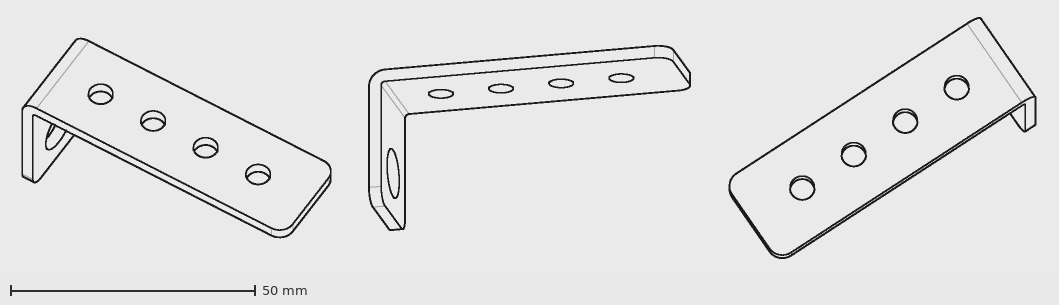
import cadquery as cq

length = 63.5
width = 20.1
height = 28.6

thickness = 2.6
inner_bend_radius = 0.8
outer_bend_radius = inner_bend_radius + thickness
corner_radius = 3.2

small_hole_diameter = 5.0
small_hole_count = 4
hole_pitch = length / (small_hole_count + 1)

large_hole_diameter = 10.15
large_hole_height = height / 3


def make_bent_sheet():
    """L-shaped sheet centred on Y, with its outer bend at X = 0 and Z = height."""
    sheet = (
        cq.Workplane("XZ")
        .moveTo(0, 0)
        .lineTo(0, height)
        .lineTo(length, height)
        .lineTo(length, height - thickness)
        .lineTo(thickness, height - thickness)
        .lineTo(thickness, 0)
        .close()
        .extrude(width / 2, both=True)
    )
    sheet = sheet.edges("|Y").edges("<X and >Z").fillet(outer_bend_radius)
    inner_corner = cq.selectors.NearestToPointSelector((thickness, 0, height - thickness))
    return sheet.edges("|Y").edges(inner_corner).fillet(inner_bend_radius)


def round_free_ends(body):
    """Round the two corners at the free end of each leg."""
    body = body.faces(">X").edges("|Z").fillet(corner_radius)
    return body.faces("<Z").edges("|X").fillet(corner_radius)


def make_long_leg_holes():
    """Evenly spaced cutters running down through the long leg."""
    centers = [(hole_pitch * (i + 1), 0) for i in range(small_hole_count)]
    return (
        cq.Workplane("XY", origin=(0, 0, height - thickness))
        .pushPoints(centers)
        .circle(small_hole_diameter / 2)
        .extrude(thickness)
    )


def make_short_leg_hole():
    """Cutter running along X through the short leg."""
    return (
        cq.Workplane("YZ")
        .center(0, large_hole_height)
        .circle(large_hole_diameter / 2)
        .extrude(thickness)
    )


bracket = round_free_ends(make_bent_sheet())
result = bracket.cut(make_long_leg_holes()).cut(make_short_leg_hole())